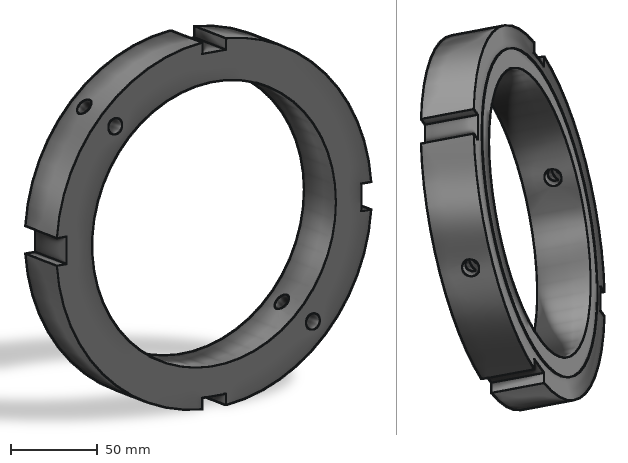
import cadquery as cq

outer_diameter = 220.0
bore_diameter = 170.0
width = 33.0

slot_count = 4
slot_width = 16.5
slot_floor_radius = 103.0

seat_diameter = 193.0
seat_height = 0.5

radial_hole_diameter = 10.0
radial_hole_offset = -2.5
hole_angles = (45, 225)

axial_hole_diameter = 9.7
axial_hole_radius = (outer_diameter + bore_diameter) / 4

left_face = -width / 2
right_face = width / 2


def disc(diameter, start, length):
    """Cylinder along X, beginning at the given X position."""
    return (
        cq.Workplane("YZ", origin=(start, 0, 0))
        .circle(diameter / 2)
        .extrude(length)
    )


def slot_cutter(angle):
    """Rectangular rim slot along X, turned about the ring axis from +Z."""
    reach = outer_diameter - slot_floor_radius
    return (
        cq.Workplane("XY", origin=(0, 0, slot_floor_radius))
        .rect(2 * width, slot_width)
        .extrude(reach)
        .rotate((0, 0, 0), (1, 0, 0), angle)
    )


def hole_cutter(angle):
    """Radial hole joined by its axial hole, turned about the ring axis from +Z."""
    radial_hole = (
        cq.Workplane("XY", origin=(radial_hole_offset, 0, 0))
        .circle(radial_hole_diameter / 2)
        .extrude(outer_diameter)
    )
    axial_hole = disc(
        axial_hole_diameter, radial_hole_offset, right_face - radial_hole_offset
    ).translate((0, 0, axial_hole_radius))
    return radial_hole.union(axial_hole).rotate((0, 0, 0), (1, 0, 0), angle)


rim = disc(outer_diameter, left_face + seat_height, width - seat_height)
seat = disc(seat_diameter, left_face, width)
result = rim.union(seat).cut(disc(bore_diameter, left_face, width))

for index in range(slot_count):
    result = result.cut(slot_cutter(index * 360 / slot_count))

for angle in hole_angles:
    result = result.cut(hole_cutter(angle))